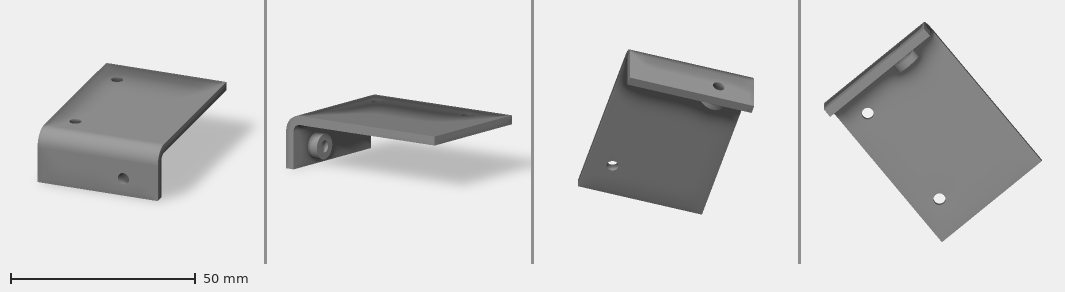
import cadquery as cq

width = 35.0
length = 50.0
height = 15.0
thickness = 2.5
inner_bend_radius = 2.0
outer_bend_radius = inner_bend_radius + thickness

hole_diameter = 3.25
plate_hole_x = 7.0
plate_hole_front_y = 10.0
plate_hole_spacing = 30.5
boss_x = 25.0
boss_z = 5.0
boss_diameter = 7.0
boss_length = 3.0


def bent_sheet():
    """L-shaped sheet: front flange at y = 0, plate on top."""
    block = cq.Workplane("XY").box(width, length, height, centered=False)
    inside = (
        cq.Workplane("XY", origin=(0, thickness, 0))
        .box(width, length - thickness, height - thickness, centered=False)
        .edges("|X and >Z and <Y")
        .fillet(inner_bend_radius)
    )
    return block.edges("|X and >Z and <Y").fillet(outer_bend_radius).cut(inside)


def flange_cylinder(diameter, depth):
    """Cylinder running inward (+Y) from the flange's outer face on the boss axis."""
    return (
        cq.Workplane("XZ", origin=(boss_x, 0, boss_z))
        .circle(diameter / 2)
        .extrude(-depth)
    )


def plate_holes():
    """Two vertical through holes along one side of the plate."""
    rear_y = plate_hole_front_y + plate_hole_spacing
    return (
        cq.Workplane("XY")
        .pushPoints([(plate_hole_x, y) for y in (plate_hole_front_y, rear_y)])
        .circle(hole_diameter / 2)
        .extrude(height)
    )


boss_reach = thickness + boss_length
result = (
    bent_sheet()
    .union(flange_cylinder(boss_diameter, boss_reach))
    .cut(flange_cylinder(hole_diameter, boss_reach))
    .cut(plate_holes())
)